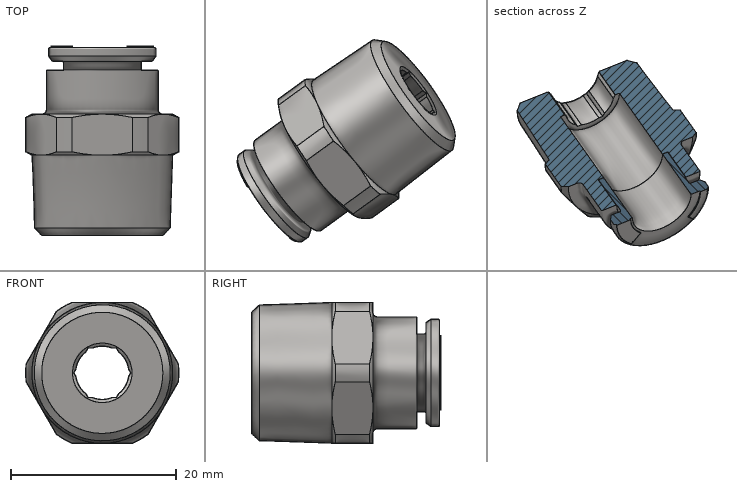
import cadquery as cq
import math


THREAD_END = 9.69
THREAD_ROOT_R = 8.5
THREAD_TIP_R = 8.2
THREAD_FACE_R = 7.31
THREAD_CHAMFER = 0.94

HEX_ACROSS_FLATS = 17.0
HEX_CORNER_R = 9.25
HEX_LENGTH = 4.95
HEX_BEVEL = 0.4
HEX_TOP = THREAD_END + HEX_LENGTH

BARREL_R = 6.76
BARREL_TOP = 19.95
BARREL_RIM_FILLET = 0.14
BARREL_ROOT_FILLET = 0.53

MOUTH_R = 3.59
MOUTH_DEPTH = 0.23
PASSAGE_R = 3.2
SOCKET_CORNER_R = 3.43
SOCKET_END = 4.3
TUBE_R = 4.0
RECESS_DEPTH = 4.57
RECESS_BOTTOM = BARREL_TOP - RECESS_DEPTH

NECK_R = 4.7
FLANGE_R = 6.5
FLANGE_BOTTOM = 21.02
FLANGE_TOP = 22.7
FLANGE_CONE_HEIGHT = 0.65
FLANGE_BOTTOM_R = 6.05
FLANGE_TOP_FILLET = 0.23
FLANGE_BOTTOM_FILLET = 0.23
NECK_FILLET = 0.14

PAD_TOP = 22.85
PAD_OUTER_R = 6.2
LEFT_PAD_INNER_R = 5.2
RIGHT_PAD_INNER_R = 4.3
PAD_HALF_ANGLE = 46.5


def revolved(points):
    """Revolve an outline of (radius, Y) points about the Y axis."""
    return cq.Workplane("XY").polyline(points).close().revolve(360, (0, 0, 0), (0, 1, 0))


def cylinder(radius, start, end):
    """Solid cylinder along Y."""
    return revolved([(0, start), (radius, start), (radius, end), (0, end)])


def hexagon(corner_r, start, end):
    """Hexagonal prism along Y, with corners on the X axis."""
    outline = cq.Workplane("XZ", origin=(0, start, 0)).polygon(6, 2 * corner_r)
    return outline.extrude(start - end)


def make_thread():
    """Plain tapered envelope of the thread, chamfered at its open end."""
    return revolved([
        (0, 0),
        (THREAD_FACE_R, 0),
        (THREAD_TIP_R, THREAD_CHAMFER),
        (THREAD_ROOT_R, THREAD_END),
        (0, THREAD_END),
    ])


def make_wrench_section():
    """Hexagon with its corners turned round and bevelled at both ends."""
    flat_r = HEX_ACROSS_FLATS / 2
    turned = revolved([
        (0, THREAD_END),
        (flat_r, THREAD_END),
        (HEX_CORNER_R, THREAD_END + HEX_BEVEL),
        (HEX_CORNER_R, HEX_TOP - HEX_BEVEL),
        (flat_r, HEX_TOP),
        (0, HEX_TOP),
    ])
    prism = hexagon(flat_r / math.cos(math.pi / 6), THREAD_END, HEX_TOP)
    return prism.intersect(turned)


def make_barrel():
    """Barrel with a rounded rim and a concave fillet onto the hexagon."""
    fillet_top = HEX_TOP + BARREL_ROOT_FILLET
    fillet_edge_r = BARREL_R + BARREL_ROOT_FILLET
    fillet_middle = (
        fillet_edge_r - BARREL_ROOT_FILLET * math.cos(math.pi / 4),
        fillet_top - BARREL_ROOT_FILLET * math.sin(math.pi / 4),
    )
    outline = (
        cq.Workplane("XY")
        .moveTo(0, HEX_TOP)
        .lineTo(fillet_edge_r, HEX_TOP)
        .threePointArc(fillet_middle, (BARREL_R, fillet_top))
        .lineTo(BARREL_R, BARREL_TOP)
        .lineTo(0, BARREL_TOP)
        .close()
    )
    barrel = outline.revolve(360, (0, 0, 0), (0, 1, 0))
    return barrel.faces(">Y").edges().fillet(BARREL_RIM_FILLET)


def make_passage():
    """Everything removed along the axis of the housing."""
    mouth = revolved([(0, 0), (MOUTH_R, 0), (PASSAGE_R, MOUTH_DEPTH), (0, MOUTH_DEPTH)])
    round_passage = cylinder(PASSAGE_R, 0, SOCKET_END)
    socket = hexagon(SOCKET_CORNER_R, 0, SOCKET_END)
    tube_bore = cylinder(TUBE_R, SOCKET_END, RECESS_BOTTOM)
    sleeve_recess = cylinder(NECK_R, RECESS_BOTTOM, BARREL_TOP)
    return round_passage.union(socket).union(mouth).union(tube_bore).union(sleeve_recess)


def make_housing():
    outside = make_thread().union(make_wrench_section()).union(make_barrel())
    return outside.cut(make_passage())


def make_flange():
    """Flange with a conical underside and rounded rims."""
    flange = revolved([
        (0, FLANGE_BOTTOM),
        (FLANGE_BOTTOM_R, FLANGE_BOTTOM),
        (FLANGE_R, FLANGE_BOTTOM + FLANGE_CONE_HEIGHT),
        (FLANGE_R, FLANGE_TOP),
        (0, FLANGE_TOP),
    ])
    flange = flange.faces(">Y").edges().fillet(FLANGE_TOP_FILLET)
    return flange.faces("<Y").edges().fillet(FLANGE_BOTTOM_FILLET)


def make_label_pad(direction, inner_r):
    """Arc-shaped pad whose middle lies at the given angle around the axis."""

    def rim_point(radius, offset):
        angle = math.radians(direction + offset)
        return (radius * math.cos(angle), radius * math.sin(angle))

    outline = (
        cq.Workplane("XZ", origin=(0, FLANGE_TOP, 0))
        .moveTo(*rim_point(inner_r, -PAD_HALF_ANGLE))
        .lineTo(*rim_point(PAD_OUTER_R, -PAD_HALF_ANGLE))
        .threePointArc(rim_point(PAD_OUTER_R, 0), rim_point(PAD_OUTER_R, PAD_HALF_ANGLE))
        .lineTo(*rim_point(inner_r, PAD_HALF_ANGLE))
        .threePointArc(rim_point(inner_r, 0), rim_point(inner_r, -PAD_HALF_ANGLE))
        .close()
    )
    return outline.extrude(FLANGE_TOP - PAD_TOP)


def make_sleeve():
    """Flange and neck in one piece, filleted where they meet and bored for the tube."""
    neck = cylinder(NECK_R, RECESS_BOTTOM, FLANGE_BOTTOM)
    sleeve = make_flange().union(neck)
    reach = NECK_R + NECK_FILLET
    neck_corner = cq.selectors.BoxSelector(
        (-reach, FLANGE_BOTTOM - NECK_FILLET, -reach),
        (reach, FLANGE_BOTTOM + NECK_FILLET, reach),
        boundingbox=True,
    )
    sleeve = sleeve.edges(neck_corner).fillet(NECK_FILLET)
    sleeve = sleeve.union(make_label_pad(0, RIGHT_PAD_INNER_R))
    sleeve = sleeve.union(make_label_pad(180, LEFT_PAD_INNER_R))
    return sleeve.cut(cylinder(TUBE_R, RECESS_BOTTOM, PAD_TOP))


housing = make_housing()
sleeve = make_sleeve()

result = cq.Compound.makeCompound([housing.val(), sleeve.val()])